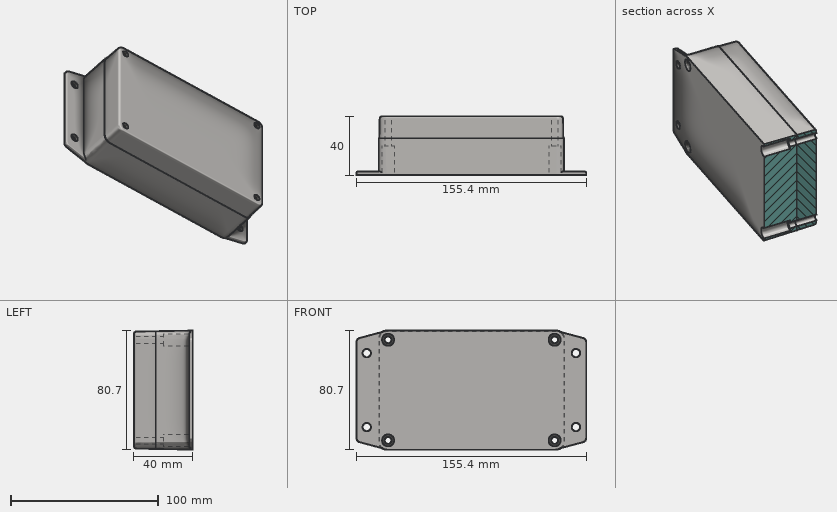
import cadquery as cq
import math


TOTAL_LENGTH = 155.37
TOTAL_WIDTH = 80.67
TOTAL_HEIGHT = 40.0
BASE_HEIGHT = 25.0

DRAFT = math.tan(math.radians(1.0))
BASE_HALF_LENGTH = 62.75
LID_HALF_LENGTH = 62.3
CORNER_CENTRE_Z = 35.0
LID_TOP_FILLET = 2.0

FLANGE_THICKNESS = 2.5
FLANGE_EDGE_FILLET = 1.0
FLANGE_CORNER_RADIUS = 3.0
FLANGE_SLOPE = math.tan(math.radians(15.0))
FLANGE_ROOT_X = 59.5
FLANGE_TIP_HALF_WIDTH = 34.7
MOUNT_HOLE_DIAMETER = 5.5
MOUNT_HOLE_X = 70.7
MOUNT_HOLE_Z = 25.0

SCREW_HOLE_DIAMETER = 4.5
SCREW_HEAD_DIAMETER = 8.2
SCREW_HEAD_DEPTH = 20.0
SCREW_X = 56.3
SCREW_Z = 34.0


def half_width(y):
    """Half the Z width of the drafted side walls at height y."""
    return TOTAL_WIDTH / 2 - y * DRAFT


def plane_at(y):
    """Sketch plane at height y with local axes X and Z; negative extrusions rise along +Y."""
    return cq.Workplane("XZ", origin=(0, y, 0))


def rounded_outline(y, half_length):
    """Rounded rectangle whose corner radius follows the side wall draft."""
    radius = half_width(y) - CORNER_CENTRE_Z
    return (
        cq.Sketch()
        .rect(2 * half_length, 2 * half_width(y))
        .vertices()
        .fillet(radius)
    )


def housing_block(bottom, top, half_length_bottom, half_length_top):
    """Solid block of the housing between two heights."""
    lower = rounded_outline(bottom, half_length_bottom)
    upper = rounded_outline(top, half_length_top)
    lower = lower.moved(cq.Location(cq.Vector(0, 0, -bottom)))
    upper = upper.moved(cq.Location(cq.Vector(0, 0, -top)))
    return cq.Workplane("XZ").placeSketch(lower, upper).loft(ruled=True)


def mirrored_points(x, z):
    """The four mirror images of a point about the middle of the housing."""
    return [(sx * x, sz * z) for sx in (-1, 1) for sz in (-1, 1)]


def drill(body, bottom, depth, diameter, points):
    """Cut holes that rise along +Y from the given height."""
    holes = plane_at(bottom).pushPoints(points).circle(diameter / 2).extrude(-depth)
    return body.cut(holes)


def make_flange(side):
    """Tapered mounting flange on the -X (side = -1) or +X (side = 1) end."""
    tip_x = TOTAL_LENGTH / 2
    root_half_width = FLANGE_TIP_HALF_WIDTH + (tip_x - FLANGE_ROOT_X) * FLANGE_SLOPE
    outline = [
        (side * FLANGE_ROOT_X, -root_half_width),
        (side * tip_x, -FLANGE_TIP_HALF_WIDTH),
        (side * tip_x, FLANGE_TIP_HALF_WIDTH),
        (side * FLANGE_ROOT_X, root_half_width),
    ]
    flange = plane_at(0).polyline(outline).close().extrude(-FLANGE_THICKNESS)
    tip, root = (">X", "<X") if side > 0 else ("<X", ">X")
    flange = flange.faces(tip).edges("|Y").fillet(FLANGE_CORNER_RADIUS)
    return flange.faces(">Y").edges(f"not ({root})").fillet(FLANGE_EDGE_FILLET)


def make_base():
    """Base with its two flanges, mounting holes and counterbored screw holes."""
    base = housing_block(0, BASE_HEIGHT, BASE_HALF_LENGTH, BASE_HALF_LENGTH)
    for side in (-1, 1):
        base = base.union(make_flange(side))
    mount_points = mirrored_points(MOUNT_HOLE_X, MOUNT_HOLE_Z)
    screw_points = mirrored_points(SCREW_X, SCREW_Z)
    base = drill(base, 0, FLANGE_THICKNESS, MOUNT_HOLE_DIAMETER, mount_points)
    base = drill(base, 0, BASE_HEIGHT, SCREW_HOLE_DIAMETER, screw_points)
    return drill(base, 0, SCREW_HEAD_DEPTH, SCREW_HEAD_DIAMETER, screw_points)


def make_lid():
    """Drafted lid with a rounded top edge and screw holes."""
    lid_height = TOTAL_HEIGHT - BASE_HEIGHT
    top_half_length = LID_HALF_LENGTH - lid_height * DRAFT
    lid = housing_block(BASE_HEIGHT, TOTAL_HEIGHT, LID_HALF_LENGTH, top_half_length)
    lid = lid.faces(">Y").edges().fillet(LID_TOP_FILLET)
    return drill(lid, BASE_HEIGHT, lid_height, SCREW_HOLE_DIAMETER, mirrored_points(SCREW_X, SCREW_Z))


base = make_base()
lid = make_lid()
result = cq.Compound.makeCompound([base.val(), lid.val()])